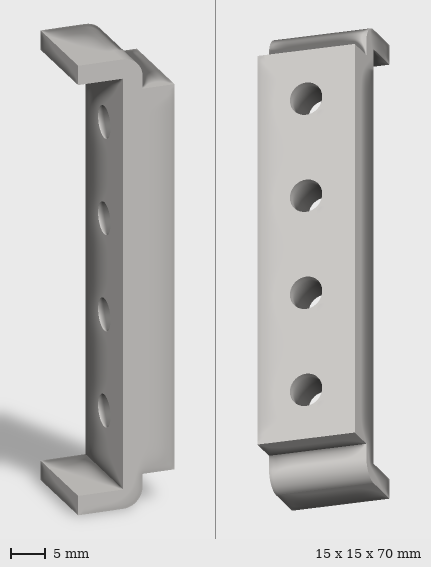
import cadquery as cq

length = 70.0
width = 15.0
depth = 15.0
thickness = 3.0
bend_radius = 3.0
pad_depth = 5.0
pad_length = 60.0
hole_diameter = 5.0
hole_pitch = 15.0
hole_count = 4

web_back = depth - pad_depth
web_front = web_back - thickness


def make_bracket():
    """C-shaped bracket: a web with a flange at each end, rounded outside bends."""
    blank = cq.Workplane("XY").box(width, web_back, length, centered=(True, False, True))
    blank = blank.edges(">Y and |X").fillet(bend_radius)
    opening = cq.Workplane("XY").box(
        width, web_front, length - 2 * thickness, centered=(True, False, True)
    )
    return blank.cut(opening)


def make_pad():
    """Rectangular pad centred on the back of the web."""
    pad = cq.Workplane("XY").box(width, pad_depth, pad_length, centered=(True, False, True))
    return pad.translate((0, web_back, 0))


def make_holes():
    """Row of evenly spaced cylinders crossing the full depth along Y."""
    return (
        cq.Workplane("XZ")
        .rarray(0.7, hole_pitch, 1, hole_count)
        .circle(hole_diameter / 2)
        .extrude(-depth)
    )


result = make_bracket().union(make_pad()).cut(make_holes())